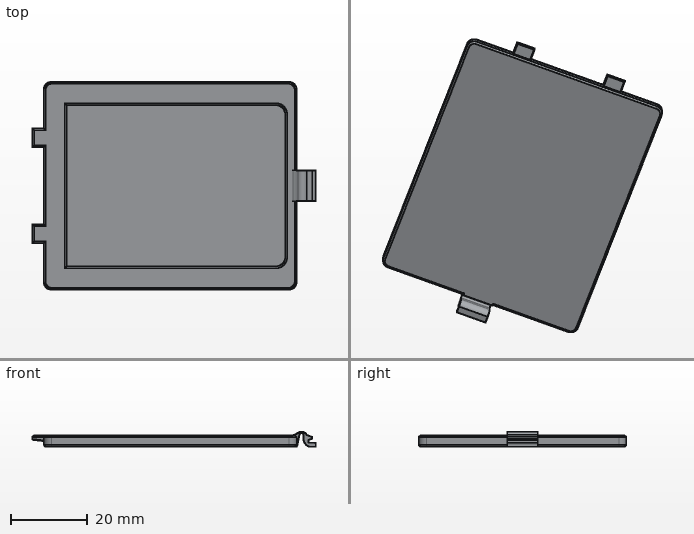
import cadquery as cq
import math


plate_length = 65.8
plate_width = 54.0
plate_height = 3.0
plate_corner_radius = 2.0
edge_chamfer = 0.5

recess_length = 57.9
recess_width = 42.95
recess_depth = 2.0
recess_left_margin = 5.45
recess_corner_radius = 3.0
recess_chamfer = 0.5

tab_length = 3.0
tab_width = 4.95
tab_spacing = 25.0
tab_root_bottom = 1.5
tab_tip_bottom = 1.85
tab_bottom_chamfer = 0.2
tab_overlap = 0.75

clip_width = 8.0
clip_length = 5.0
clip_height = 4.0
ramp_start_offset = -1.0
ramp_end_offset = 0.3
ramp_sag = 0.1
arch_offset = 1.25
arch_outer_radius = 1.5
arch_inner_radius = 0.5
arch_crown_thickness = 0.4
root_edge_offset = 0.2
arm_outer_offset = 3.1
barb_start_offset = 2.6
barb_tip_offset = 4.05
barb_tip_top = 2.6
barb_tip_bottom = 2.15
barb_root_height = 1.8
finger_thickness = 1.1
finger_tip_fillet = 0.3
bend_height = 1.8
bend_run = 1.55
bend_sag = 0.3

plate_side = plate_length / 2


def make_plate():
    return (
        cq.Workplane("XY")
        .box(plate_length, plate_width, plate_height, centered=(True, True, False))
        .edges("|Z").fillet(plate_corner_radius)
        .faces("<Z").edges().chamfer(edge_chamfer)
    )


def make_tab(center_y):
    """Tab flush with the plate top, its underside sloping up to the tip, with chamfered edges."""
    tip_x = -plate_side - tab_length
    root_x = -plate_side + tab_overlap
    return (
        cq.Workplane("XZ", origin=(0, center_y, 0))
        .moveTo(root_x, plate_height)
        .lineTo(tip_x, plate_height)
        .lineTo(tip_x, tab_tip_bottom)
        .lineTo(-plate_side, tab_root_bottom)
        .lineTo(root_x, tab_root_bottom)
        .close()
        .extrude(tab_width / 2, both=True)
        .edges("((<X and |Y) exc >Z) or (not(|X or |Y or |Z))")
        .chamfer(tab_bottom_chamfer)
    )


def recess_layer(inset, corner_radius):
    """Flat outline of the recess, shrunk by the inset."""
    return (
        cq.Sketch()
        .rect(recess_length - 2 * inset, recess_width - 2 * inset)
        .vertices(">X")
        .fillet(corner_radius)
    )


def make_recess():
    center_x = -plate_side + recess_left_margin + recess_length / 2
    top = cq.Workplane("XY", origin=(center_x, 0, plate_height))
    rim = (
        top.placeSketch(recess_layer(0, recess_corner_radius))
        .extrude(-recess_chamfer, taper=45)
    )
    pocket = (
        top.placeSketch(recess_layer(recess_chamfer, recess_corner_radius - recess_chamfer))
        .extrude(-recess_depth)
    )
    return rim.union(pocket)


def arch_point(offset):
    """Point on the outside of the arch at the given offset from the plate side."""
    axis_z = clip_height - arch_outer_radius
    rise = math.sqrt(arch_outer_radius ** 2 - (offset - arch_offset) ** 2)
    return (plate_side + offset, axis_z + rise)


def make_clip():
    """Root on the plate side, thin arch, then an arm with a barb and a finger rest."""
    arch_x = plate_side + arch_offset
    arch_inner_top = clip_height - arch_crown_thickness
    arch_foot_z = arch_inner_top - arch_inner_radius
    arm_inner_x = arch_x + arch_inner_radius
    arm_outer_x = plate_side + arm_outer_offset
    barb_tip_x = plate_side + barb_tip_offset
    finger_end_x = plate_side + clip_length
    ramp_start = (plate_side + ramp_start_offset, plate_height)
    ramp_end = arch_point(ramp_end_offset)
    barb_start = arch_point(barb_start_offset)
    return (
        cq.Workplane("XZ")
        .moveTo(*ramp_start)
        .sagittaArc(ramp_end, -ramp_sag)
        .threePointArc((arch_x, clip_height), barb_start)
        .lineTo(barb_tip_x, barb_tip_top)
        .lineTo(barb_tip_x, barb_tip_bottom)
        .lineTo(arm_outer_x, barb_root_height)
        .lineTo(arm_outer_x, finger_thickness)
        .lineTo(finger_end_x, finger_thickness)
        .lineTo(finger_end_x, 0)
        .lineTo(arm_inner_x + bend_run, 0)
        .sagittaArc((arm_inner_x, bend_height), bend_sag)
        .lineTo(arm_inner_x, arch_foot_z)
        .threePointArc((arch_x, arch_inner_top), (arch_x - arch_inner_radius, arch_foot_z))
        .lineTo(plate_side + root_edge_offset, edge_chamfer)
        .lineTo(plate_side, 0)
        .lineTo(ramp_start[0], 0)
        .close()
        .extrude(clip_width / 2, both=True)
        .faces(">X").edges(">Z").fillet(finger_tip_fillet)
    )


body = make_plate()
for side in (-1, 1):
    body = body.union(make_tab(side * tab_spacing / 2))
body = body.faces(">Z").edges().chamfer(edge_chamfer)

result = body.cut(make_recess()).union(make_clip())